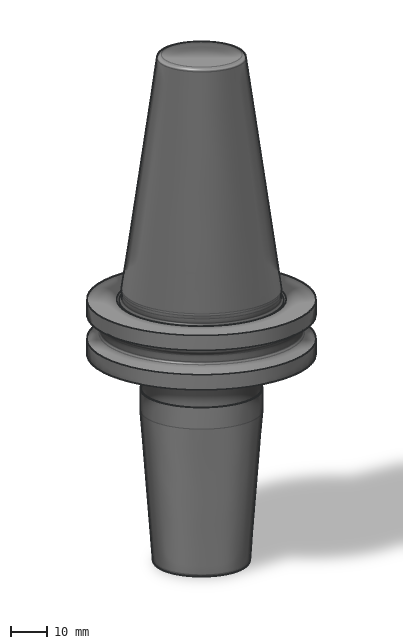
import cadquery as cq
import math


gauge_radius = 44.45 / 2
taper_length = 68.4
taper_slope = 7 / 48
tip_round = 1.2

gauge_land_bottom_z = -0.6
neck_radius = 22.1
neck_top_z = -1.5
undercut_bottom_z = -3.5
undercut_round = 0.75
undercut_rim_radius = 23.5

flange_radius = 63.55 / 2
flange_top_z = -3.2
flange_bottom_z = -19.1
groove_floor_radius = 56.25 / 2
groove_center_z = -11.1
groove_mouth_width = 7.1
groove_wall_angle = 30.0
groove_round = 0.8

body_bottom_z = -80.0
collar_round = 0.8
collar_bottom_z = -21.1
waist_radius = 16.7
body_radius = 17.0
band_top_z = -29.2
band_bottom_z = -35.4
nose_radius = 13.5
nose_round = 1.0


def turned_body():
    """Whole holder without the flange groove and the end rounds."""
    tip_radius = gauge_radius - taper_length * taper_slope
    return (
        cq.Workplane("XZ")
        .moveTo(0, taper_length)
        .lineTo(tip_radius, taper_length)
        .lineTo(gauge_radius, 0)
        .lineTo(gauge_radius, gauge_land_bottom_z)
        .lineTo(neck_radius, neck_top_z)
        .lineTo(neck_radius, undercut_bottom_z + undercut_round)
        .radiusArc((neck_radius + undercut_round, undercut_bottom_z), -undercut_round)
        .lineTo(undercut_rim_radius, flange_top_z)
        .lineTo(flange_radius, flange_top_z)
        .lineTo(flange_radius, flange_bottom_z)
        .lineTo(body_radius + collar_round, flange_bottom_z)
        .radiusArc((body_radius, flange_bottom_z - collar_round), -collar_round)
        .lineTo(body_radius, collar_bottom_z)
        .lineTo(waist_radius, collar_bottom_z)
        .lineTo(waist_radius, band_top_z)
        .lineTo(body_radius, band_top_z)
        .lineTo(body_radius, band_bottom_z)
        .lineTo(nose_radius, body_bottom_z)
        .lineTo(0, body_bottom_z)
        .close()
        .revolve(360, (0, 0, 0), (0, 1, 0))
    )


def flange_groove():
    """Ring that cuts the V groove, with its floor corners rounded."""
    wall_rise = (flange_radius - groove_floor_radius) * math.tan(math.radians(groove_wall_angle))
    mouth_half = groove_mouth_width / 2
    floor_half = mouth_half - wall_rise
    ring = (
        cq.Workplane("XZ")
        .moveTo(flange_radius, groove_center_z + mouth_half)
        .lineTo(groove_floor_radius, groove_center_z + floor_half)
        .lineTo(groove_floor_radius, groove_center_z - floor_half)
        .lineTo(flange_radius, groove_center_z - mouth_half)
        .close()
        .revolve(360, (0, 0, 0), (0, 1, 0))
    )
    floor_corners = cq.selectors.RadiusNthSelector(0)
    return ring.edges("%CIRCLE").edges(floor_corners).fillet(groove_round)


holder = turned_body().cut(flange_groove())
holder = holder.faces(">Z").edges().fillet(tip_round)
result = holder.faces("<Z").edges().fillet(nose_round)